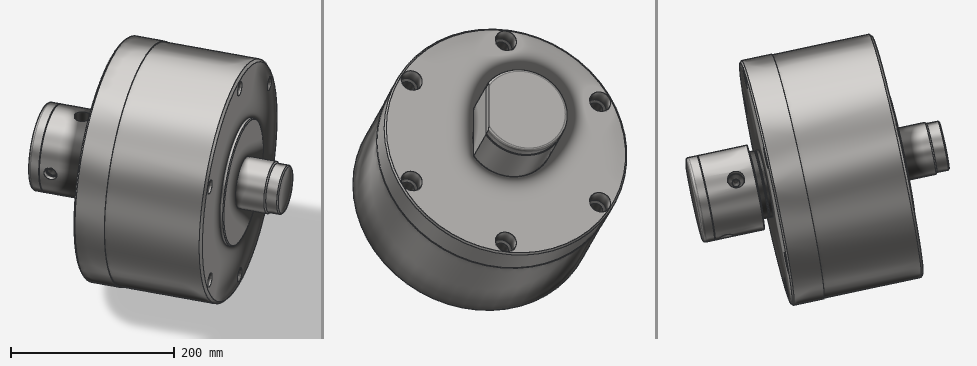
import cadquery as cq
import math

total_length = 314.0

head_radius = 55.2
head_flat_y = 44.5
cap_length = 13.8
cap_edge_fillet = 3.0
sleeve_length = 62.8
sleeve_edge_chamfer = 1.0

neck_radius = 42.0
neck_length = 8.0
neck_root_chamfer = 1.3
neck_gap = 1.5
neck_edge_chamfer = 0.3
collar_length = 4.0

main_port_radius = 10.5
main_port_depth = 15.7
main_port_from_sleeve_end = 24.0
pilot_radius = 4.7
pilot_depth = 6.3
side_port_radius = 8.2
side_port_depth = 7.0
side_port_core_radius = 7.2
side_port_core_depth = 9.0
side_port_from_sleeve_end = 47.7
drill_tip_angle = 118.0

passage_radius = 1.1
passage_beyond_core_depth = 2.5

cover_radius = 153.5
cover_thickness = 40.0
cover_edge_chamfer = 2.2
drum_radius = 152.5
drum_length = 125.0
drum_edge_chamfer = 3.0
boss_radius = 80.0
boss_length = 5.0
boss_edge_chamfer = 1.3

bolt_count = 6
bolt_circle_radius = 137.5
bolt_hole_radius = 8.8
counterbore_radius = 13.2
counterbore_depth = 22.0

shaft_radius = 32.5
shaft_end_radius = 30.8
shaft_end_length = 17.5
shaft_end_chamfer = 1.5
shaft_core_radius = 22.0

sleeve_start = cap_length
sleeve_end = sleeve_start + sleeve_length
neck_end = sleeve_end + neck_length
collar_start = neck_end + neck_gap
cover_start = collar_start + collar_length
cover_end = cover_start + cover_thickness
drum_end = cover_end + drum_length
boss_end = drum_end + boss_length
shaft_shoulder = total_length - shaft_end_length

main_port_x = sleeve_end - main_port_from_sleeve_end
side_port_x = sleeve_end - side_port_from_sleeve_end


def cylinder(start, end, radius):
    """Solid cylinder on the X axis between two stations."""
    return cq.Workplane("YZ", origin=(start, 0, 0)).circle(radius).extrude(end - start)


def cut_head_flat(body):
    """Remove everything beyond the flat on the +Y side of the head."""
    beyond_flat = cq.Workplane("XY").box(
        sleeve_end, head_radius, 2 * head_radius, centered=(False, False, True)
    )
    return body.cut(beyond_flat.translate((0, head_flat_y, 0)))


def drill(mouth, direction, radius, depth):
    """Tool for a blind drilled hole with a conical tip, starting at its mouth."""
    tip_length = radius / math.tan(math.radians(drill_tip_angle / 2))
    shank = cq.Solid.makeCylinder(radius, depth, mouth, direction)
    tip = cq.Solid.makeCone(radius, 0, tip_length, mouth + direction * depth, direction)
    return cq.Workplane(shank).union(cq.Workplane(tip))


def bolt_circle(start, end, radius):
    """Cylinders on the bolt circle between two stations."""
    return (
        cq.Workplane("YZ", origin=(start, 0, 0))
        .polarArray(bolt_circle_radius, 90, 360, bolt_count)
        .circle(radius)
        .extrude(end - start)
    )


def make_cap():
    cap = cylinder(0, sleeve_start, head_radius)
    cap = cap.faces("<X").edges().fillet(cap_edge_fillet)
    return cut_head_flat(cap)


def make_side_port_tool():
    """Tool for the stepped side port and the passage that leads from its tip to the cap."""
    mouth = cq.Vector(side_port_x, -head_radius, 0)
    inward = cq.Vector(0, 1, 0)
    port = cq.Solid.makeCylinder(side_port_radius, side_port_depth, mouth, inward)
    core = drill(mouth, inward, side_port_core_radius, side_port_core_depth)
    passage_y = side_port_core_depth + passage_beyond_core_depth - head_radius
    passage = cylinder(sleeve_start, side_port_x, passage_radius).translate((0, passage_y, 0))
    return core.union(cq.Workplane(port)).union(passage)


def make_sleeve():
    barrel = cylinder(sleeve_start, sleeve_end, head_radius)
    barrel = cut_head_flat(barrel.edges().chamfer(sleeve_edge_chamfer))

    neck = cylinder(sleeve_end, neck_end, neck_radius)
    neck = neck.faces(">X").edges().chamfer(neck_edge_chamfer)
    neck_root = cq.Workplane(
        cq.Solid.makeCone(
            neck_radius + neck_root_chamfer,
            neck_radius,
            neck_root_chamfer,
            cq.Vector(sleeve_end, 0, 0),
            cq.Vector(1, 0, 0),
        )
    )
    sleeve = barrel.union(neck).union(neck_root)
    sleeve = sleeve.cut(cylinder(sleeve_start, neck_end, shaft_core_radius))

    mouth = cq.Vector(main_port_x, 0, head_radius)
    inward = cq.Vector(0, 0, -1)
    main_port = drill(mouth, inward, main_port_radius, main_port_depth)
    pilot = drill(mouth, inward, pilot_radius, main_port_depth + pilot_depth)
    return sleeve.cut(main_port).cut(pilot).cut(make_side_port_tool())


def make_cover():
    disc = cylinder(cover_start, cover_end, cover_radius)
    disc = disc.faces("<X").edges().chamfer(cover_edge_chamfer)
    collar = cylinder(collar_start, cover_start, neck_radius)
    collar = collar.faces("<X").edges().chamfer(neck_edge_chamfer)
    cover = disc.union(collar)
    cover = cover.cut(cylinder(collar_start, cover_end, shaft_core_radius))
    cover = cover.cut(bolt_circle(cover_start, cover_end, bolt_hole_radius))
    counterbore_end = cover_start + counterbore_depth
    return cover.cut(bolt_circle(cover_start, counterbore_end, counterbore_radius))


def make_drum():
    drum = cylinder(cover_end, drum_end, drum_radius)
    drum = drum.faces(">X").edges().chamfer(drum_edge_chamfer)
    boss = cylinder(drum_end, boss_end, boss_radius)
    boss = boss.faces(">X").edges().chamfer(boss_edge_chamfer)
    drum = drum.union(boss)
    drum = drum.cut(cylinder(cover_end, boss_end, shaft_radius))
    return drum.cut(bolt_circle(cover_end, drum_end, bolt_hole_radius))


def make_shaft():
    core = cylinder(sleeve_start, cover_end, shaft_core_radius)
    shoulder_chamfer = shaft_radius - shaft_end_radius
    journal = cylinder(cover_end, shaft_shoulder + shoulder_chamfer, shaft_radius)
    journal = journal.faces(">X").edges().chamfer(shoulder_chamfer)
    end_journal = cylinder(shaft_shoulder, total_length, shaft_end_radius)
    end_journal = end_journal.faces(">X").edges().chamfer(shaft_end_chamfer)
    return core.union(journal).union(end_journal)


cap = make_cap()
sleeve = make_sleeve()
cover = make_cover()
drum = make_drum()
shaft = make_shaft()

result = cq.Compound.makeCompound([cap.val(), sleeve.val(), cover.val(), drum.val(), shaft.val()])